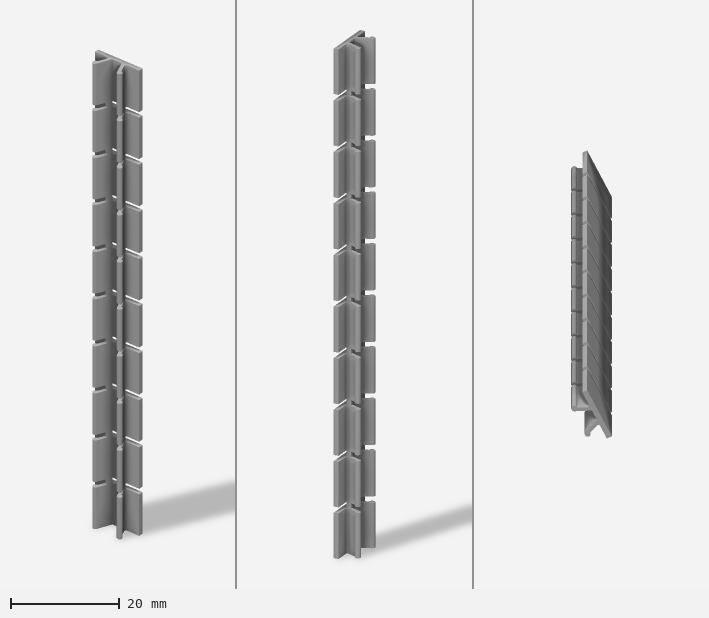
import cadquery as cq
import math

length = 100.8
width = 10.5
depth = 4.3
plate_thickness = 1.0

segment_count = 10
gap = 1.2
segment_length = (length - (segment_count - 1) * gap) / segment_count
pitch = segment_length + gap

leg_thickness = 0.7
leg_spacing = 2.2
leg_fillet = 0.35
bead_radius = 0.55
bead_span = 6.9
bead_x = bead_span / 2 - bead_radius

web_height = 0.9
web_span = 4.0

plate_front = -plate_thickness
bead_y = bead_radius - depth

root_x = leg_spacing / 2
run_x = bead_x - root_x
run_y = plate_front - bead_y
tangent_angle = math.asin(bead_radius / math.hypot(run_x, run_y))
splay = math.atan2(run_x, run_y) - tangent_angle
inner_face_length = math.hypot(run_x, run_y) * math.cos(tangent_angle)
leg_width_x = leg_thickness / math.cos(splay)


def make_leg():
    """Full-length +X leg with its bead; the root is sunk into the plate."""
    sink = plate_thickness / 2
    sink_x = root_x - sink * math.tan(splay)
    sink_y = plate_front + sink
    tip_x = root_x + inner_face_length * math.sin(splay)
    tip_y = plate_front - inner_face_length * math.cos(splay)
    tip_outer_x = tip_x + leg_thickness * math.cos(splay)
    tip_outer_y = tip_y + leg_thickness * math.sin(splay)
    corners = [
        (sink_x, sink_y),
        (tip_x, tip_y),
        (tip_outer_x, tip_outer_y),
        (sink_x + leg_width_x, sink_y),
    ]
    leg = cq.Workplane("XY").polyline(corners).close().extrude(length)
    bead = cq.Workplane("XY").center(bead_x, bead_y).circle(bead_radius).extrude(length)
    return leg.union(bead)


def make_strip():
    """Uncut strip: plate and two mirrored legs, filleted at their outer roots."""
    plate = cq.Workplane("XY").box(width, plate_thickness, length, centered=(True, False, False))
    plate = plate.translate((0, plate_front, 0))
    leg = make_leg()
    strip = plate.union(leg).union(leg.mirror("YZ"))
    outer_root_x = root_x + leg_width_x
    for side in (-1, 1):
        root_point = (side * outer_root_x, plate_front, length / 2)
        strip = strip.edges(cq.selectors.NearestToPointSelector(root_point)).fillet(leg_fillet)
    return strip


def make_gap_cutter():
    """Full section of one gap, except the zone where the webs stay."""
    cutter = cq.Workplane("XY").box(width, depth, gap, centered=(True, False, False))
    web_zone = cq.Workplane("XY").box(web_span, web_height, gap, centered=(True, False, False))
    web_zone = web_zone.translate((0, depth - plate_thickness - web_height, 0))
    return cutter.cut(web_zone).translate((0, -depth, 0))


gap_cutter = make_gap_cutter()
result = make_strip()
for index in range(segment_count - 1):
    result = result.cut(gap_cutter.translate((0, 0, index * pitch + segment_length)))

result = result.translate((0, depth / 2, -length / 2))